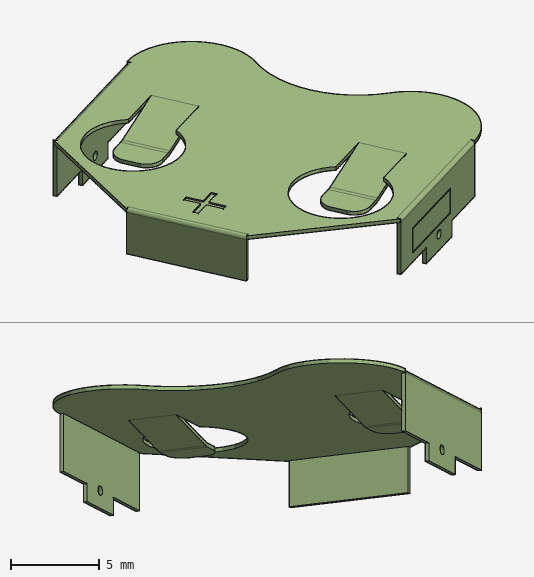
import cadquery as cq
import math

overall_width = 21.8
sheet = 0.25
bend_radius = sheet
pad_height = 0.05
half_width = (overall_width - pad_height) / 2
front_y = -9.75

lobe_radius = 4.01
lobe_x = half_width - lobe_radius
lobe_y = 5.74
saddle_y = 7.13

wall_back_y = lobe_y
wall_length = 9.99
wall_front_y = wall_back_y - wall_length
shoulder_depth = 3.65
total_depth = 4.7
foot_width = 3.5
foot_y = 0.92
wall_hole_diameter = 0.55
front_wall_width = 7.5
half_front = front_wall_width / 2
front_wall_depth = 2.95

window_x = 6.5
window_y = -2.92
window_radius = 2.99
finger_width = 2.99
finger_root_y = 2.75
finger_bend_start_y = -1.15
finger_bend_end_y = -1.4
finger_tip_y = -3.18
finger_tip_radius = 1.0
finger_drop = 0.94

plus_y = -7.26
plus_span = 2.49
plus_bar = 0.35
plus_depth = 0.09

pad_length = 5.08
pad_y = -0.17
pad_top_depth = 1.42
pad_bottom_depth = 2.99


def make_plate():
    """Flat plate with two round lobes joined by a concave arc tangent to both."""
    rise = saddle_y - lobe_y
    saddle_radius = (lobe_x**2 + rise**2 - lobe_radius**2) / (2 * (lobe_radius - rise))
    share = lobe_radius / (lobe_radius + saddle_radius)
    tangent_x = lobe_x * (1 - share)
    tangent_y = lobe_y + share * (rise + saddle_radius)
    diagonal = lobe_radius * math.sin(math.radians(45))
    return (
        cq.Workplane("XY")
        .moveTo(-half_front, front_y)
        .lineTo(half_front, front_y)
        .lineTo(half_width, wall_front_y)
        .lineTo(half_width, lobe_y)
        .threePointArc((lobe_x + diagonal, lobe_y + diagonal), (tangent_x, tangent_y))
        .threePointArc((0, saddle_y), (-tangent_x, tangent_y))
        .threePointArc((-lobe_x - diagonal, lobe_y + diagonal), (-half_width, lobe_y))
        .lineTo(-half_width, wall_front_y)
        .close()
        .extrude(-sheet)
    )


def block(x_range, y_range, z_range):
    """Axis-aligned box between pairs of limits."""
    limits = (x_range, y_range, z_range)
    sizes = [high - low for low, high in limits]
    corner = tuple(low for low, high in limits)
    return cq.Workplane("XY").box(*sizes, centered=False).translate(corner)


def make_side_wall(side):
    """Side wall with a narrower foot; side is -1 or +1."""
    x_range = sorted((side * half_width, side * (half_width - sheet)))
    foot_range = (foot_y - foot_width / 2, foot_y + foot_width / 2)
    wall = block(x_range, (wall_front_y, wall_back_y), (-shoulder_depth, 0))
    return wall.union(block(x_range, foot_range, (-total_depth, 0)))


def make_front_wall():
    """Plain wall bent down along the front edge."""
    return block((-half_front, half_front), (front_y, front_y + sheet), (-front_wall_depth, 0))


def make_bend_waste(length):
    """Corner material outside a bend of the given length, for a bend facing +X whose edge is the Y axis."""
    return (
        cq.Workplane("XZ")
        .moveTo(-bend_radius, 0)
        .radiusArc((0, -bend_radius), bend_radius)
        .lineTo(0, 0)
        .close()
        .extrude(length / 2, both=True)
    )


def make_finger(x):
    """Spring finger sloping down from the plate to a level, round-cornered tip."""
    run = finger_root_y - finger_bend_start_y
    bend_run = finger_bend_start_y - finger_bend_end_y
    slope = math.atan(finger_drop / (run + bend_run / 2))
    arc_radius = bend_run / math.sin(slope)
    bend_drop = arc_radius * (1 - math.cos(slope))
    half_bend = arc_radius * math.sin(slope / 2)
    bend_mid = (
        finger_bend_end_y + half_bend,
        -finger_drop + arc_radius * (1 - math.cos(slope / 2)),
    )
    finger = (
        cq.Workplane("YZ")
        .moveTo(finger_root_y, 0)
        .lineTo(finger_bend_start_y, -finger_drop + bend_drop)
        .threePointArc(bend_mid, (finger_bend_end_y, -finger_drop))
        .lineTo(finger_tip_y, -finger_drop)
        .lineTo(finger_tip_y, -finger_drop - sheet)
        .lineTo(finger_bend_end_y, -finger_drop - sheet)
        .threePointArc(
            (bend_mid[0], bend_mid[1] - sheet),
            (finger_bend_start_y, -finger_drop + bend_drop - sheet),
        )
        .lineTo(finger_root_y, -sheet)
        .close()
        .extrude(finger_width / 2, both=True)
    )
    return finger.edges("|Z and <Y").fillet(finger_tip_radius).translate((x, 0, 0))


def make_window(x):
    """Round window plus the straight slot the finger is bent out of."""
    window = cq.Workplane("XY").center(x, window_y).circle(window_radius).extrude(-sheet)
    x_range = (x - finger_width / 2, x + finger_width / 2)
    return window.union(block(x_range, (window_y, finger_root_y), (-sheet, 0)))


def make_plus():
    """Shallow plus-shaped recess in the top face."""
    bar = cq.Workplane("XY").center(0, plus_y)
    across = bar.rect(plus_span, plus_bar).extrude(-plus_depth)
    along = bar.rect(plus_bar, plus_span).extrude(-plus_depth)
    return across.union(along)


def make_pad():
    """Thin raised pad on the outside of the +X wall."""
    return block(
        (half_width - sheet / 2, half_width + pad_height),
        (pad_y - pad_length / 2, pad_y + pad_length / 2),
        (-pad_bottom_depth, -pad_top_depth),
    )


body = make_plate()
for side in (-1, 1):
    body = body.union(make_side_wall(side))
body = body.union(make_front_wall())

side_waste = make_bend_waste(wall_length).translate((half_width, wall_front_y + wall_length / 2, 0))
front_waste = make_bend_waste(front_wall_width).rotate((0, 0, 0), (0, 0, 1), -90).translate((0, front_y, 0))
body = body.cut(side_waste).cut(side_waste.mirror("YZ")).cut(front_waste)

wall_hole = (
    cq.Workplane("YZ")
    .center(foot_y, -shoulder_depth)
    .circle(wall_hole_diameter / 2)
    .extrude(overall_width, both=True)
)
body = body.cut(wall_hole)

for x in (-window_x, window_x):
    body = body.cut(make_window(x)).union(make_finger(x))

result = body.cut(make_plus()).union(make_pad())